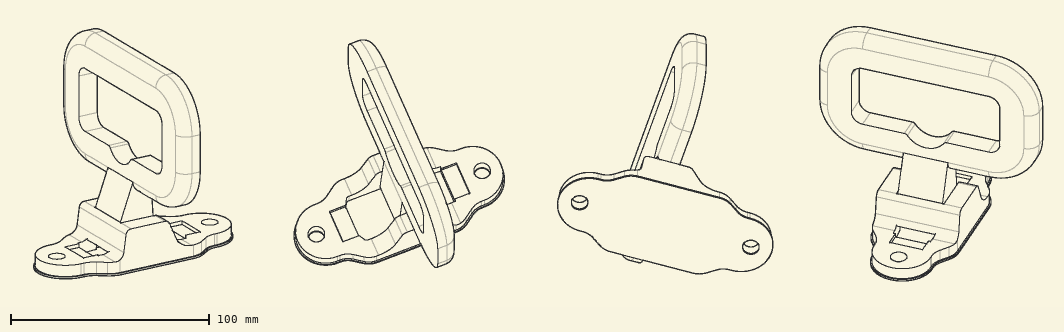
import cadquery as cq
import math

base_length = 110.5
end_radius = 15.2
end_center_y = base_length / 2 - end_radius
base_half_width = 22.5
end_corner_y = 35.0
side_corner_y = 25.0
outline_fillet = 10.5
gasket_overhang = 0.77
gasket_thickness = 1.0
plate_top = 7.1
bolt_hole_diameter = 8.4
bolt_hole_y = 45.1

block_top = 23.2
block_front_foot_y = -20.0
block_front_top_y = -17.7
block_rear_foot_y = 14.0
block_rear_top_y = 6.8
block_edge_radius = 3.0
block_front_foot_radius = 5.0
block_rear_foot_radius = 10.0

slot_half_width = 12.8
slot_front_y = -15.0
slot_rear_y = 25.5
slot_shoulder_y = 23.4
slot_shoulder_radius = 2.0
tunnel_front_y = -26.5
tunnel_top = 8.0
tunnel_front_half_width = 10.0
tunnel_rear_half_width = 11.0
recess_half_width = 8.91
recess_depth = 2.0
front_recess_end_y = -34.8
rear_recess_end_y = 34.2

handle_width = 118.0
handle_top = 107.5
handle_bottom = 37.4
handle_front_y = -7.5
handle_rear_y = 3.4
handle_corner_radius = 25.0
handle_edge_radius = 6.0
window_width = 80.0
window_height = 34.0
window_corner_radius = 6.0
notch_radius = 12.0
notch_bottom = 49.6
notch_edge_radius = 2.0
stem_width = 24.1
stem_rear_y = 4.4
stem_bottom = 5.7
stem_toe_radius = 5.0


def base_prism(height):
    """Base outline with two round ends and a wide middle, extruded up from Z = 0."""
    front_right = (end_radius, -end_center_y)
    rear_right = (end_radius, end_center_y)
    front_left = (-end_radius, -end_center_y)
    rear_left = (-end_radius, end_center_y)
    prism = (
        cq.Workplane("XY")
        .moveTo(*front_right)
        .lineTo(end_radius, -end_corner_y)
        .lineTo(base_half_width, -side_corner_y)
        .lineTo(base_half_width, side_corner_y)
        .lineTo(end_radius, end_corner_y)
        .lineTo(*rear_right)
        .threePointArc((0, base_length / 2), rear_left)
        .lineTo(-end_radius, end_corner_y)
        .lineTo(-base_half_width, side_corner_y)
        .lineTo(-base_half_width, -side_corner_y)
        .lineTo(-end_radius, -end_corner_y)
        .lineTo(*front_left)
        .threePointArc((0, -base_length / 2), front_right)
        .close()
        .extrude(height)
    )
    waist_limit_y = (end_corner_y + end_center_y) / 2
    waist_edges = prism.edges("|Z").filter(lambda edge: abs(edge.Center().y) < waist_limit_y)
    return waist_edges.fillet(outline_fillet)


def bolt_holes():
    return (
        cq.Workplane("XY")
        .pushPoints([(0, bolt_hole_y), (0, -bolt_hole_y)])
        .circle(bolt_hole_diameter / 2)
        .extrude(block_top)
    )


def make_gasket():
    outline = base_prism(gasket_thickness).faces("<Z").wires()
    sheet = outline.toPending().offset2D(gasket_overhang).extrude(gasket_thickness, combine=False)
    sheet = sheet.translate((0, 0, -sheet.val().BoundingBox().zmin))
    return sheet.cut(bolt_holes())


def block_profile():
    """Side profile of flanges and raised block, swept across the whole width."""
    half_length = base_length / 2
    profile = (
        cq.Workplane("YZ", origin=(-base_half_width, 0, 0))
        .moveTo(-half_length, gasket_thickness)
        .lineTo(half_length, gasket_thickness)
        .lineTo(half_length, plate_top)
        .lineTo(block_rear_foot_y, plate_top)
        .lineTo(block_rear_top_y, block_top)
        .lineTo(block_front_top_y, block_top)
        .lineTo(block_front_foot_y, plate_top)
        .lineTo(-half_length, plate_top)
        .close()
        .extrude(2 * base_half_width)
    )
    block_edges = (
        (block_rear_foot_y, plate_top, block_rear_foot_radius),
        (block_rear_top_y, block_top, block_edge_radius),
        (block_front_top_y, block_top, block_edge_radius),
        (block_front_foot_y, plate_top, block_front_foot_radius),
    )
    for y, z, radius in block_edges:
        profile = profile.edges(cq.NearestToPointSelector((0, y, z))).fillet(radius)
    return profile


def stem_slot():
    """Slot open at the top, narrowing to the rear recess over rounded shoulders."""
    slot = (
        cq.Workplane("XY")
        .moveTo(-slot_half_width, slot_front_y)
        .lineTo(slot_half_width, slot_front_y)
        .lineTo(slot_half_width, slot_shoulder_y)
        .lineTo(recess_half_width, slot_rear_y)
        .lineTo(-recess_half_width, slot_rear_y)
        .lineTo(-slot_half_width, slot_shoulder_y)
        .close()
        .extrude(block_top)
    )
    for x in (slot_half_width, -slot_half_width):
        shoulder = cq.NearestToPointSelector((x, slot_shoulder_y, block_top / 2))
        slot = slot.edges("|Z").edges(shoulder).fillet(slot_shoulder_radius)
    return slot


def front_tunnel():
    """Tapered opening from the slot out through the front of the block."""
    return (
        cq.Workplane("XY")
        .moveTo(-tunnel_rear_half_width, slot_front_y)
        .lineTo(tunnel_rear_half_width, slot_front_y)
        .lineTo(tunnel_front_half_width, tunnel_front_y)
        .lineTo(-tunnel_front_half_width, tunnel_front_y)
        .close()
        .extrude(tunnel_top)
    )


def end_recess(inner_y, outer_y):
    """Shallow rectangular recess in a flange, next to a slot end."""
    return (
        cq.Workplane("XY", origin=(0, (inner_y + outer_y) / 2, plate_top - recess_depth))
        .rect(2 * recess_half_width, abs(outer_y - inner_y))
        .extrude(recess_depth)
    )


def make_base():
    return (
        block_profile()
        .intersect(base_prism(block_top))
        .cut(bolt_holes())
        .cut(stem_slot())
        .cut(front_tunnel())
        .cut(end_recess(tunnel_front_y, front_recess_end_y))
        .cut(end_recess(slot_rear_y, rear_recess_end_y))
    )


def handle_ring():
    """Rounded plate with a large rounding along its front outer edge."""
    height = handle_top - handle_bottom
    return (
        cq.Workplane("XZ", origin=(0, handle_rear_y, handle_bottom + height / 2))
        .rect(handle_width, height)
        .extrude(handle_rear_y - handle_front_y)
        .edges("|Y")
        .fillet(handle_corner_radius)
        .faces("<Y")
        .edges()
        .fillet(handle_edge_radius)
    )


def handle_window():
    """Rounded window with a round finger notch in the middle of its lower edge."""
    center_z = (handle_top + handle_bottom) / 2
    sill_z = center_z - window_height / 2
    depth = handle_rear_y - handle_front_y
    plane = cq.Workplane("XZ", origin=(0, handle_rear_y, 0))
    window = (
        plane.center(0, center_z)
        .rect(window_width, window_height)
        .extrude(depth)
        .edges("|Y")
        .fillet(window_corner_radius)
    )
    notch_center_z = notch_bottom + notch_radius
    notch = plane.center(0, notch_center_z).circle(notch_radius).extrude(depth)
    notch_half_width = math.sqrt(notch_radius**2 - (notch_center_z - sill_z) ** 2)
    opening = window.union(notch)
    for x in (notch_half_width, -notch_half_width):
        lip = cq.NearestToPointSelector((x, handle_rear_y - depth / 2, sill_z))
        opening = opening.edges("|Y").edges(lip).fillet(notch_edge_radius)
    return opening


def handle_stem():
    """Wedge from the handle down through the slot, ending above the gasket in a rounded toe."""
    stem_top = handle_bottom + handle_edge_radius
    rear_lean = (stem_rear_y - handle_rear_y) / (handle_bottom - block_top)
    stem_heel_y = stem_rear_y + rear_lean * (block_top - stem_bottom)
    return (
        cq.Workplane("YZ", origin=(-stem_width / 2, 0, 0))
        .moveTo(handle_front_y, stem_top)
        .lineTo(slot_front_y, block_top)
        .lineTo(slot_front_y, stem_bottom)
        .lineTo(stem_heel_y, stem_bottom)
        .lineTo(handle_rear_y, handle_bottom)
        .lineTo(handle_rear_y, stem_top)
        .close()
        .extrude(stem_width)
        .edges(cq.NearestToPointSelector((0, slot_front_y, stem_bottom)))
        .fillet(stem_toe_radius)
    )


def make_handle():
    return handle_ring().cut(handle_window()).union(handle_stem())


gasket = make_gasket()
base = make_base()
handle = make_handle()
result = cq.Compound.makeCompound([gasket.val(), base.val(), handle.val()])